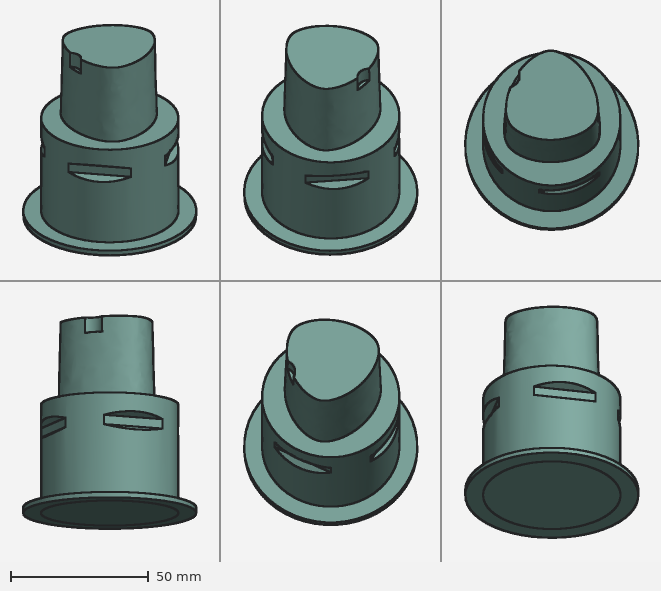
import cadquery as cq
import math

flange_diameter = 63.0
flange_thickness = 2.0

collar_diameter = 50.0
collar_top = 40.0
collar_radius = collar_diameter / 2

shank_width = 35.0
shank_eccentricity = 1.25
shank_height = 30.0
shank_taper = 1 / 20
shank_top_width = shank_width - shank_height * shank_taper
shank_top = collar_top + shank_height
lobe_count = 3

notch_radius = 4.5
notch_depth = 5.7
notch_center_y = -18.35

groove_count = 4
groove_first_angle = 45.0
groove_center_z = 30.0
groove_depth = 2.8
groove_floor_height = 3.45
groove_wall_angle = 30.0
groove_overshoot = 1.0


def make_flange():
    """Thin ring around the foot of the collar."""
    return (
        cq.Workplane("XY")
        .circle(flange_diameter / 2)
        .circle(collar_radius)
        .extrude(flange_thickness)
    )


def lobed_outline(width):
    """Curve of constant width with one lobe pointing to +Y, from its support function."""

    def point(parameter):
        angle = 2 * math.pi * parameter
        support = width / 2 + shank_eccentricity * math.cos(lobe_count * angle)
        slope = -lobe_count * shank_eccentricity * math.sin(lobe_count * angle)
        outward = support * math.cos(angle) - slope * math.sin(angle)
        sideways = support * math.sin(angle) + slope * math.cos(angle)
        return (-sideways, outward)

    return point


def make_shank():
    base = cq.Workplane("XY").workplane(offset=collar_top)
    base = base.parametricCurve(lobed_outline(shank_width))
    return (
        base.workplane(offset=shank_height)
        .parametricCurve(lobed_outline(shank_top_width))
        .loft(ruled=True, combine=True)
    )


def make_notch_cutter():
    return (
        cq.Workplane("XY")
        .workplane(offset=shank_top - notch_depth)
        .center(0, notch_center_y)
        .circle(notch_radius)
        .extrude(notch_depth)
    )


def make_groove_cutter(angle):
    """Straight bar with a flat floor and flared walls, lying across the collar at this angle."""
    floor_x = collar_radius - groove_depth
    outer_x = collar_radius + groove_overshoot
    flare = (outer_x - floor_x) * math.tan(math.radians(groove_wall_angle))
    floor_half = groove_floor_height / 2
    section = [
        (floor_x, groove_center_z - floor_half),
        (outer_x, groove_center_z - floor_half - flare),
        (outer_x, groove_center_z + floor_half + flare),
        (floor_x, groove_center_z + floor_half),
    ]
    bar = cq.Workplane("XZ").polyline(section).close().extrude(collar_radius, both=True)
    return bar.rotate((0, 0, 0), (0, 0, 1), angle)


def make_holder():
    holder = cq.Workplane("XY").circle(collar_radius).extrude(collar_top)
    holder = holder.union(make_shank()).cut(make_notch_cutter())
    for index in range(groove_count):
        angle = groove_first_angle + index * 360 / groove_count
        holder = holder.cut(make_groove_cutter(angle))
    return holder


flange = make_flange()
holder = make_holder()

result = cq.Compound.makeCompound([flange.val(), *holder.solids().vals()])